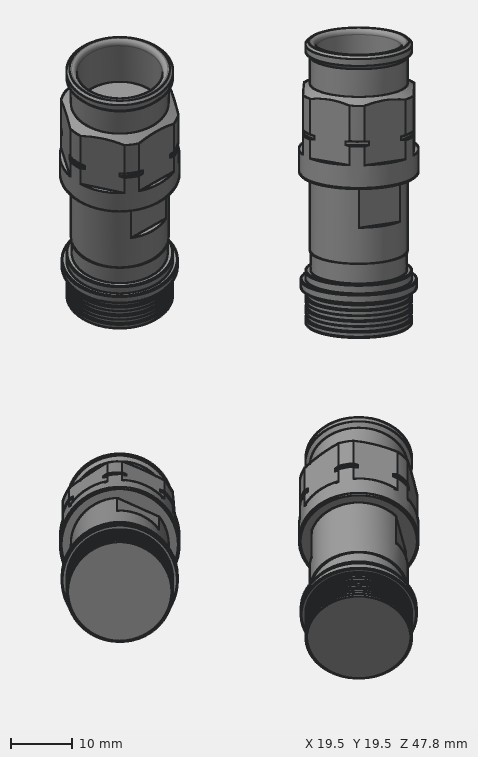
import cadquery as cq
import math

total_height = 47.8

rib_radius = 8.7
groove_floor_radius = 8.45
bottom_chamfer = 0.3
groove_count = 3
first_groove_z = 1.2
groove_pitch = 1.8
groove_floor_width = 0.7
groove_flank_height = 0.2

flange_radius = 9.45
flange_bottom_z = 6.1
flange_top_z = 7.65
shoulder_top_z = 9.1
edge_chamfer = 0.15

lower_body_radius = 7.85
body_radius = 8.0
body_step_z = 12.45
wrench_flat_distance = 7.05
wrench_flat_bottom_z = 18.55

nut_radius = 9.75
nut_bottom_z = 25.55
nut_bottom_chamfer = 0.3
hex_bottom_z = 29.65
hex_apothem = 9.0
nut_shoulder_z = 39.75
nut_top_z = 40.75

mark_floor_radius = 9.45
mark_mid_z = 33.28
mark_floor_width = 0.55
mark_mouth_width = 0.85

rim_radius = 8.7
rim_top_radius = 8.18
rim_chamfer_height = 0.5
rim_straight_bottom_z = 46.2
rim_bottom_z = 45.4
socket_radius = 7.0
socket_lip_radius = 0.85
socket_floor_z = 39.35


def turned(points):
    """Revolve a closed (radius, height) outline about the Z axis."""
    return cq.Workplane("XZ").polyline(points).close().revolve(360, (0, 0), (0, 1))


def turned_blank():
    """Outer turned shape, with the nut still fully round."""
    return turned([
        (0, 0),
        (rib_radius - bottom_chamfer, 0),
        (rib_radius, bottom_chamfer),
        (rib_radius, flange_bottom_z),
        (flange_radius - edge_chamfer, flange_bottom_z),
        (flange_radius, flange_bottom_z + edge_chamfer),
        (flange_radius, flange_top_z - edge_chamfer),
        (flange_radius - edge_chamfer, flange_top_z),
        (rib_radius, flange_top_z),
        (rib_radius, shoulder_top_z - edge_chamfer),
        (rib_radius - edge_chamfer, shoulder_top_z),
        (lower_body_radius, shoulder_top_z),
        (lower_body_radius, body_step_z),
        (body_radius, body_step_z),
        (body_radius, nut_bottom_z),
        (nut_radius - nut_bottom_chamfer, nut_bottom_z),
        (nut_radius, nut_bottom_z + nut_bottom_chamfer),
        (nut_radius, nut_shoulder_z),
        (body_radius, nut_top_z),
        (body_radius, rim_bottom_z),
        (rim_radius, rim_straight_bottom_z),
        (rim_radius, total_height - rim_chamfer_height),
        (rim_top_radius, total_height),
        (0, total_height),
    ])


def ring_groove(floor_radius, outer_radius, mid_z, floor_width, mouth_width):
    """Ring-shaped cutter whose width tapers from the surface to the floor."""
    return turned([
        (floor_radius, mid_z - floor_width / 2),
        (outer_radius, mid_z - mouth_width / 2),
        (outer_radius, mid_z + mouth_width / 2),
        (floor_radius, mid_z + floor_width / 2),
    ])


def hex_flats_cutter():
    """Material outside the hexagon, with two of its flats facing +X and -X."""
    height = nut_top_z - hex_bottom_z
    level = cq.Workplane("XY").workplane(offset=hex_bottom_z)
    disc = level.circle(2 * nut_radius).extrude(height)
    hexagon = level.polygon(6, 2 * hex_apothem, circumscribed=True).extrude(height)
    return disc.cut(hexagon)


def wrench_flat_cutter(side):
    """Block that cuts one wrench flat, on the +X or -X side of the body."""
    height = nut_bottom_z - wrench_flat_bottom_z
    depth = body_radius - wrench_flat_distance
    return (
        cq.Workplane("XY")
        .box(depth, 2 * body_radius, height, centered=(True, True, False))
        .translate((side * (wrench_flat_distance + depth / 2), 0, wrench_flat_bottom_z))
    )


def socket_cutter():
    """Blind round socket with a rounded lip at its mouth."""
    lip_z = total_height - socket_lip_radius
    mouth_radius = socket_radius + socket_lip_radius
    lip_diagonal = socket_lip_radius * math.sin(math.radians(45))
    return (
        cq.Workplane("XZ")
        .moveTo(0, socket_floor_z)
        .lineTo(socket_radius, socket_floor_z)
        .lineTo(socket_radius, lip_z)
        .threePointArc(
            (mouth_radius - lip_diagonal, lip_z + lip_diagonal),
            (mouth_radius, total_height),
        )
        .lineTo(0, total_height)
        .close()
        .revolve(360, (0, 0), (0, 1))
    )


result = turned_blank()

for index in range(groove_count):
    groove_mid_z = first_groove_z + index * groove_pitch + groove_floor_width / 2
    groove_mouth_width = groove_floor_width + 2 * groove_flank_height
    result = result.cut(
        ring_groove(groove_floor_radius, rib_radius, groove_mid_z, groove_floor_width, groove_mouth_width)
    )

for side in (-1, 1):
    result = result.cut(wrench_flat_cutter(side))

result = result.cut(hex_flats_cutter())
result = result.cut(
    ring_groove(mark_floor_radius, nut_radius, mark_mid_z, mark_floor_width, mark_mouth_width)
)
result = result.cut(socket_cutter())